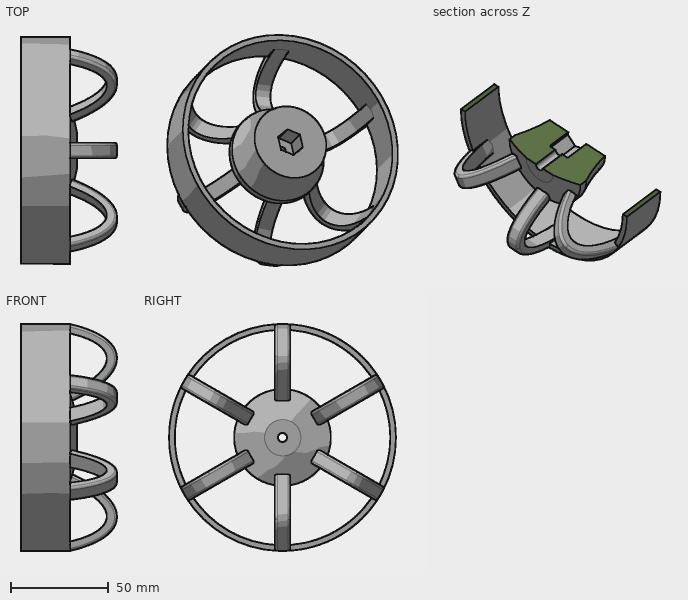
import cadquery as cq
RING_DIAMETER = 116.0
RING_BORE = 110.0
RING_LENGTH = 25.2

HUB_FRONT_DIAMETER = 38.7
HUB_DIAMETER = 49.5
HUB_LENGTH = 28.7
HUB_FLARE_LENGTH = 20.0
HUB_DOME_START = 24.4
HUB_DOME_MIDDLE_X = 26.8
HUB_DOME_MIDDLE_RADIUS = 17.3
HUB_BACK_DIAMETER = 18.6
HUB_FLARE_SAG = 0.7
BORE_DIAMETER = 4.5
HEX_ACROSS_CORNERS = 13.9
HEX_DEPTH = 13.9
HEX_TURN = 17.0

ARM_COUNT = 6
ARM_WIDTH = 8.0
ARM_THICKNESS = 5.3
ARM_START = 10.4
ARM_EDGE_FILLET = 1.4
ELLIPSE_CENTER_X = -23.2
ELLIPSE_CENTER_Z = 33.2
ELLIPSE_LONG_RADIUS = 72.7
ELLIPSE_SHORT_RADIUS = 26.6
ELLIPSE_TILT = 6.7


def cylinder_along_x(diameter, length, start=0.0):
    return cq.Workplane("YZ", origin=(start, 0, 0)).circle(diameter / 2).extrude(length)


def elliptical_prism(inset):
    """Solid ellipse in the XZ plane, centred on Y = 0 and as wide as an arm."""
    return (
        cq.Workplane("XZ", origin=(ELLIPSE_CENTER_X, ARM_WIDTH / 2, ELLIPSE_CENTER_Z))
        .ellipse(ELLIPSE_LONG_RADIUS - inset, ELLIPSE_SHORT_RADIUS - inset, rotation_angle=ELLIPSE_TILT)
        .extrude(ARM_WIDTH)
    )


def make_hub_blank():
    front_radius = HUB_FRONT_DIAMETER / 2
    radius = HUB_DIAMETER / 2
    flare_middle = (HUB_FLARE_LENGTH / 2, (front_radius + radius) / 2 - HUB_FLARE_SAG)
    return (
        cq.Workplane("XZ")
        .lineTo(0, front_radius)
        .threePointArc(flare_middle, (HUB_FLARE_LENGTH, radius))
        .lineTo(HUB_DOME_START, radius)
        .threePointArc((HUB_DOME_MIDDLE_X, HUB_DOME_MIDDLE_RADIUS), (HUB_LENGTH, HUB_BACK_DIAMETER / 2))
        .lineTo(HUB_LENGTH, 0)
        .close()
        .revolve(360, (0, 0, 0), (1, 0, 0))
    )


def make_hub(blank):
    hex_socket = (
        cq.Workplane("YZ")
        .transformed(rotate=(0, 0, HEX_TURN))
        .polygon(6, HEX_ACROSS_CORNERS)
        .extrude(HEX_DEPTH)
    )
    return blank.cut(hex_socket).cut(cylinder_along_x(BORE_DIAMETER, HUB_LENGTH))


def make_arm(hub_blank):
    """Arm on the +Z side, rooted halfway into the ring wall and ending on the surface of the hub."""
    outer = elliptical_prism(0).faces("<Y or >Y").edges().fillet(ARM_EDGE_FILLET)
    loop = outer.cut(elliptical_prism(ARM_THICKNESS))
    root_diameter = (RING_DIAMETER + RING_BORE) / 2
    inside_ring = cylinder_along_x(root_diameter, RING_LENGTH - ARM_START, ARM_START)
    behind_ring = cylinder_along_x(RING_DIAMETER, RING_LENGTH, RING_LENGTH)
    return loop.intersect(inside_ring.union(behind_ring)).cut(hub_blank)


hub_blank = make_hub_blank()
hub = make_hub(hub_blank)

ring = cylinder_along_x(RING_DIAMETER, RING_LENGTH).cut(cylinder_along_x(RING_BORE, RING_LENGTH))
arm = make_arm(hub_blank)
cage = ring
for index in range(ARM_COUNT):
    cage = cage.union(arm.rotate((0, 0, 0), (1, 0, 0), index * 360 / ARM_COUNT))

result = cq.Compound.makeCompound([hub.val(), *cage.vals()])